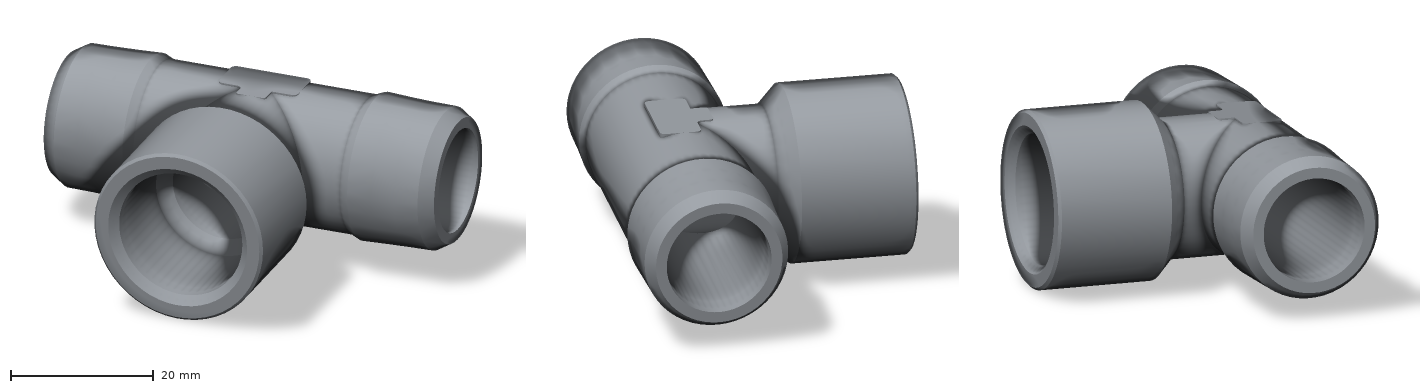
import cadquery as cq

run_length = 59.0
half_run = run_length / 2
tube_radius = 10.0
bore_radius = 7.5

spigot_tip_radius = 9.05
spigot_front_radius = 10.28
spigot_back_radius = 10.61
lead_in_length = 2.0
barrel_length = 10.5
back_slope_length = 1.4

branch_length = 32.0
socket_radius = 12.75
neck_end = 12.45
shoulder_end = 15.25
socket_edge_chamfer = 0.4

thread_bore_diameter = 18.63
thread_bore_radius = thread_bore_diameter / 2
entry_radius = 10.5
entry_chamfer = entry_radius - thread_bore_radius
thread_bore_depth = 15.0
step_length = thread_bore_radius - bore_radius

pad_top = tube_radius
pad_base = 9.0
pad_width = 12.0
pad_back = 3.6
pad_front = -2.3
pad_corner_radius = 0.8
tab_width = 4.45
tab_front = -4.75
tab_corner_radius = 0.5


def make_spigot():
    """Solid spigot at the -X end, revolved about the X axis."""
    barrel_start = -half_run + lead_in_length
    barrel_end = barrel_start + barrel_length
    slope_end = barrel_end + back_slope_length
    return (
        cq.Workplane("XY")
        .moveTo(-half_run, 0)
        .lineTo(-half_run, spigot_tip_radius)
        .lineTo(barrel_start, spigot_front_radius)
        .lineTo(barrel_end, spigot_back_radius)
        .lineTo(slope_end, tube_radius)
        .lineTo(slope_end, 0)
        .close()
        .revolve(360, (0, 0, 0), (1, 0, 0))
    )


def make_branch():
    """Solid neck, shoulder and socket, revolved about the Y axis."""
    return (
        cq.Workplane("XY")
        .lineTo(tube_radius, 0)
        .lineTo(tube_radius, -neck_end)
        .lineTo(socket_radius, -shoulder_end)
        .lineTo(socket_radius, -branch_length + socket_edge_chamfer)
        .lineTo(socket_radius - socket_edge_chamfer, -branch_length)
        .lineTo(0, -branch_length)
        .close()
        .revolve(360, (0, 0, 0), (0, 1, 0))
    )


def make_socket_hole():
    """Stepped hole from the socket mouth to the run bore."""
    thread_bore_end = -branch_length + thread_bore_depth
    return (
        cq.Workplane("XY")
        .lineTo(bore_radius, 0)
        .lineTo(bore_radius, thread_bore_end + step_length)
        .lineTo(thread_bore_radius, thread_bore_end)
        .lineTo(thread_bore_radius, -branch_length + entry_chamfer)
        .lineTo(entry_radius, -branch_length)
        .lineTo(0, -branch_length)
        .close()
        .revolve(360, (0, 0, 0), (0, 1, 0))
    )


def make_pad():
    """Flat T-shaped pad; only the -X inside corner of the T is rounded."""
    height = pad_top - pad_base
    plate = (
        cq.Workplane("XY", origin=(0, (pad_back + pad_front) / 2, pad_base))
        .rect(pad_width, pad_back - pad_front)
        .extrude(height)
        .edges("|Z")
        .fillet(pad_corner_radius)
    )
    tab = (
        cq.Workplane("XY", origin=(0, tab_front / 2, pad_base))
        .rect(tab_width, -tab_front)
        .extrude(height)
        .edges("|Z and <Y")
        .fillet(tab_corner_radius)
    )
    inside_corner = cq.selectors.NearestToPointSelector(
        (-tab_width / 2, pad_front, (pad_top + pad_base) / 2)
    )
    return plate.union(tab).edges("|Z").edges(inside_corner).fillet(pad_corner_radius)


def make_tube():
    """Solid tube between the spigot barrels, leaving their lead-in cones clear."""
    inset = lead_in_length + barrel_length
    return (
        cq.Workplane("YZ", origin=(-half_run + inset, 0, 0))
        .circle(tube_radius)
        .extrude(run_length - 2 * inset)
    )


def make_run_bore():
    """Through bore along the run."""
    return cq.Workplane("YZ", origin=(-half_run, 0, 0)).circle(bore_radius).extrude(run_length)


left_spigot = make_spigot()
right_spigot = left_spigot.mirror("YZ")

body = make_tube().union(left_spigot).union(right_spigot).union(make_branch()).union(make_pad())
result = body.cut(make_run_bore()).cut(make_socket_hole())